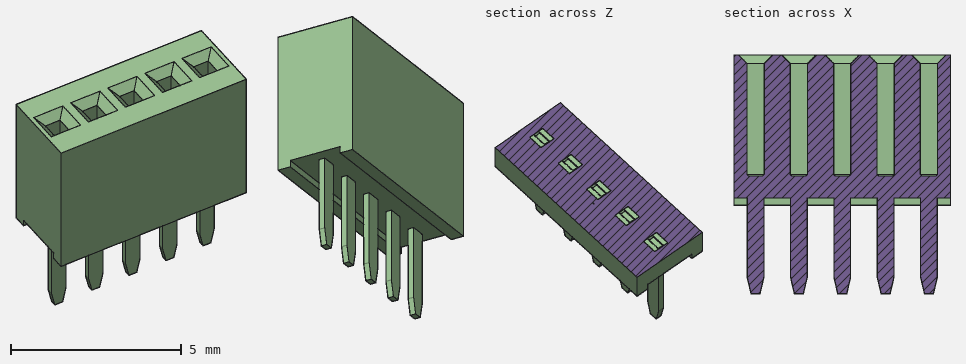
import cadquery as cq

contact_count = 5
housing_width = 2.54
housing_length = 6.35
housing_height = 4.4
pitch = housing_length / contact_count

channel_width = 1.7
channel_depth = 0.21

mouth_size = 1.0
well_size = 0.5
mouth_depth = (mouth_size - well_size) / 2
well_depth = 3.5
well_floor = housing_height - well_depth

overall_height = 7.0
tail_length = overall_height - housing_height
pin_thickness = 0.19
pin_width = well_size
tip_width = 0.265
tip_length = 0.5

slot_floor_length = 0.405
slot_depth = (well_size - slot_floor_length) / 2


def make_housing():
    block = cq.Workplane("XY").box(housing_width, housing_length, housing_height, centered=(True, True, False))
    channel = cq.Workplane("XY").box(channel_width, housing_length, channel_depth, centered=(True, True, False))
    return block.cut(channel)


def make_pin(y):
    """Flat pin running from its tapered tip up to the well floor."""
    shoulder = tip_length - tail_length
    outline = [
        (-tip_width / 2, -tail_length),
        (tip_width / 2, -tail_length),
        (pin_width / 2, shoulder),
        (pin_width / 2, well_floor),
        (-pin_width / 2, well_floor),
        (-pin_width / 2, shoulder),
    ]
    return extrude_centered(outline, y)


def make_socket(y):
    """Cutter for the tapered mouth, the well and the slot in the well floor."""
    mouth = (
        cq.Workplane("XY", origin=(0, y, housing_height))
        .rect(mouth_size, mouth_size)
        .workplane(offset=-mouth_depth)
        .rect(well_size, well_size)
        .loft(ruled=True)
    )
    well = (
        cq.Workplane("XY", origin=(0, y, well_floor))
        .rect(well_size, well_size)
        .extrude(well_depth - mouth_depth)
    )
    slot_outline = [
        (-slot_floor_length / 2, well_floor - slot_depth),
        (slot_floor_length / 2, well_floor - slot_depth),
        (well_size / 2, well_floor),
        (-well_size / 2, well_floor),
    ]
    return mouth.union(well).union(extrude_centered(slot_outline, y))


def extrude_centered(outline, y):
    """Extrude a (Y, Z) outline to the pin thickness, centred on X = 0."""
    return (
        cq.Workplane("YZ", origin=(0, y, 0))
        .polyline(outline)
        .close()
        .extrude(pin_thickness / 2, both=True)
    )


result = make_housing()
for index in range(contact_count):
    contact_y = (index - (contact_count - 1) / 2) * pitch
    result = result.union(make_pin(contact_y)).cut(make_socket(contact_y))